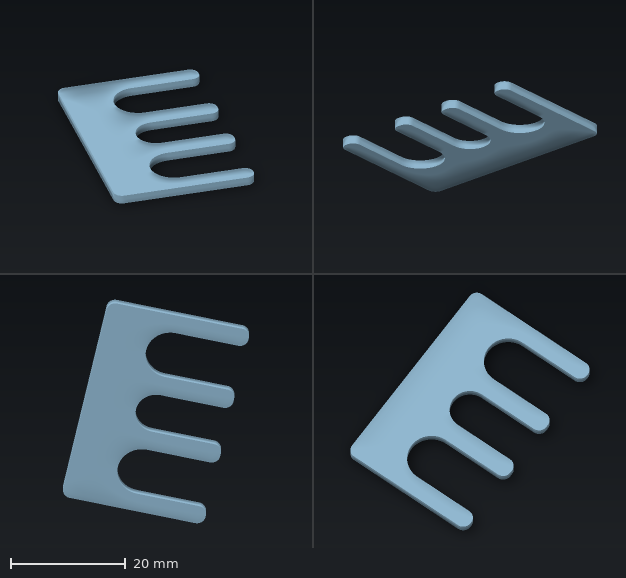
import cadquery as cq

length = 38.1
depth = 25.4
thickness = 1.55
corner_radius = 1.52

outer_slot_width = 8.57
outer_slot_offset = 11.43
middle_slot_width = 7.12
slot_end_y = 0.0


def open_slot(center_x, width):
    """Cutter with a round inner end, running out through the +Y edge."""
    radius = width / 2
    back_y = depth / 2
    return (
        cq.Workplane("XY")
        .moveTo(center_x - radius, back_y)
        .lineTo(center_x - radius, slot_end_y)
        .threePointArc((center_x, slot_end_y - radius), (center_x + radius, slot_end_y))
        .lineTo(center_x + radius, back_y)
        .close()
        .extrude(thickness)
    )


plate = cq.Workplane("XY").box(length, depth, thickness, centered=(True, True, False))

slots = [
    (-outer_slot_offset, outer_slot_width),
    (0, middle_slot_width),
    (outer_slot_offset, outer_slot_width),
]
for center_x, width in slots:
    plate = plate.cut(open_slot(center_x, width))

plate = plate.faces(">Y").edges("|Z").fillet(corner_radius)
result = plate.faces("<Y").edges("|Z").fillet(corner_radius)